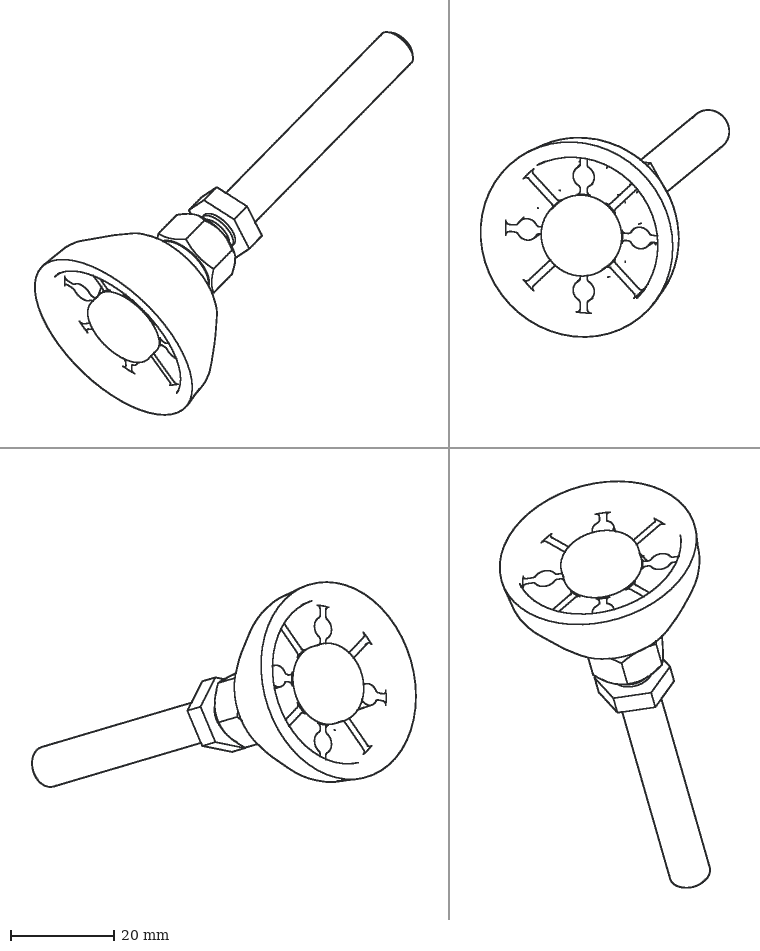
import cadquery as cq
import math


TOTAL_LENGTH = 89.5

FOOT_RADIUS = 19.5
RIM_BAND_HEIGHT = 0.5
SHOULDER_RADIUS = 18.9
SHOULDER_Y = 6.4
FOOT_TOP_RADIUS = 11.55
FOOT_TOP_Y = 17.9
FLANK_BULGE = 0.3
SHOULDER_FILLET = 3.0
FOOT_TOP_FILLET = 2.5

MOUTH_RADIUS = 16.4
MOUTH_FILLET = 0.5
CAVITY_STEP_RADIUS = 16.1
CAVITY_STEP_Y = 4.2
CAVITY_STEP_FILLET = 2.5
CAVITY_BOTTOM_RADIUS = 11.55
CAVITY_BOTTOM_Y = 14.8
CAVITY_BOTTOM_FILLET = 1.0
BOSS_RADIUS = 7.8
BOSS_FACE_Y = 1.2
BOSS_FACE_FILLET = 0.9
BOSS_FLARE_Y = 4.5

RIB_COUNT = 8
RIB_WIDTH = 1.4
RIB_FACE_Y = 4.7
RIB_DRAFT = 2.0
RIB_ROOT_FILLET = 0.7
PILLAR_RADIUS = 2.15
PILLAR_CIRCLE_RADIUS = 11.5

ROD_RADIUS = 4.0
ROD_TIP_CHAMFER = 0.8
NECK_RADIUS = 3.5
NECK_START_Y = 30.5
NECK_END_Y = 31.9
COLLAR_RADIUS = 6.2
COLLAR_START_Y = 19.4
BALL_RADIUS = 6.8
STUD_HEX_FLATS = 13.7
STUD_HEX_START_Y = 21.8
STUD_HEX_END_Y = 29.45
STUD_HEX_LOWER_FACE_RADIUS = 6.4
STUD_HEX_LOWER_CHAMFER_ANGLE = 30.0
STUD_HEX_UPPER_FACE_RADIUS = 6.9

NUT_FLATS = 13.0
NUT_THICKNESS = 4.0
NUT_START_Y = 33.0

HEX_HALF_STEP = 30.0

SELECTION_MARGIN = 0.045

ball_center_y = COLLAR_START_Y - math.sqrt(BALL_RADIUS**2 - COLLAR_RADIUS**2)


def revolve_about_y(outline):
    return outline.close().revolve(360, (0, 0, 0), (0, 1, 0))


def plane_at_y(y):
    """Plane facing +Y, with local x along +X and local y along -Z."""
    return cq.Workplane(cq.Plane(origin=(0, y, 0), xDir=(1, 0, 0), normal=(0, 1, 0)))


def hex_prism(flats, start_y, end_y, corner_angle):
    corner_diameter = flats / math.cos(math.radians(HEX_HALF_STEP))
    prism = plane_at_y(start_y).polygon(6, corner_diameter).extrude(end_y - start_y)
    return prism.rotate((0, 0, 0), (0, 1, 0), corner_angle)


def ring_edge(radius, y):
    """Selects the circular edge around the Y axis that has this radius and lies at this Y."""
    margin = SELECTION_MARGIN
    return cq.selectors.BoxSelector(
        (-radius - margin, y - margin, -radius - margin),
        (radius + margin, y + margin, radius + margin),
        boundingbox=True,
    )


def ball():
    """Ball end of the stud, also used to cut its socket in the foot."""
    return cq.Workplane("XY").sphere(BALL_RADIUS).translate((0, ball_center_y, 0))


def foot_body():
    """Solid outside shape of the foot: slightly tapered rim, bulged flank, flat top."""
    drop = FOOT_TOP_Y - SHOULDER_Y
    inset = SHOULDER_RADIUS - FOOT_TOP_RADIUS
    chord = math.hypot(drop, inset)
    flank_middle = (
        (SHOULDER_RADIUS + FOOT_TOP_RADIUS) / 2 + FLANK_BULGE * drop / chord,
        (SHOULDER_Y + FOOT_TOP_Y) / 2 + FLANK_BULGE * inset / chord,
    )
    body = revolve_about_y(
        cq.Workplane("XY")
        .lineTo(FOOT_RADIUS, 0)
        .lineTo(FOOT_RADIUS, RIM_BAND_HEIGHT)
        .lineTo(SHOULDER_RADIUS, SHOULDER_Y)
        .threePointArc(flank_middle, (FOOT_TOP_RADIUS, FOOT_TOP_Y))
        .lineTo(0, FOOT_TOP_Y)
    )
    body = body.edges(ring_edge(SHOULDER_RADIUS, SHOULDER_Y)).fillet(SHOULDER_FILLET)
    return body.edges(ring_edge(FOOT_TOP_RADIUS, FOOT_TOP_Y)).fillet(FOOT_TOP_FILLET)


def foot_cavity():
    """Ring-shaped space between the rim and the central boss, with a rounded bottom."""
    cavity = revolve_about_y(
        cq.Workplane("XY")
        .lineTo(MOUTH_RADIUS, 0)
        .lineTo(CAVITY_STEP_RADIUS, CAVITY_STEP_Y)
        .lineTo(CAVITY_BOTTOM_RADIUS, CAVITY_BOTTOM_Y)
        .lineTo(BOSS_RADIUS, BOSS_FLARE_Y)
        .lineTo(BOSS_RADIUS, BOSS_FACE_Y)
        .lineTo(0, BOSS_FACE_Y)
    )
    cavity = cavity.edges(ring_edge(CAVITY_STEP_RADIUS, CAVITY_STEP_Y)).fillet(CAVITY_STEP_FILLET)
    return cavity.edges(ring_edge(CAVITY_BOTTOM_RADIUS, CAVITY_BOTTOM_Y)).fillet(CAVITY_BOTTOM_FILLET)


def ribs():
    """Drafted ribs around the boss; every second one carries a round pillar."""
    height = FOOT_TOP_Y - RIB_FACE_Y
    web = (
        plane_at_y(RIB_FACE_Y)
        .center(FOOT_RADIUS / 2, 0)
        .rect(FOOT_RADIUS, RIB_WIDTH)
        .extrude(height, taper=-RIB_DRAFT)
    )
    pillar = (
        plane_at_y(RIB_FACE_Y)
        .center(PILLAR_CIRCLE_RADIUS, 0)
        .circle(PILLAR_RADIUS)
        .extrude(height, taper=-RIB_DRAFT)
    )
    web_with_pillar = web.union(pillar)
    group = cq.Workplane("XY")
    for i in range(RIB_COUNT):
        rib = web_with_pillar if i % 2 == 0 else web
        group = group.add(rib.rotate((0, 0, 0), (0, 1, 0), i * 360 / RIB_COUNT))
    return group.combine()


def is_rib_root(edge):
    """True for an edge that climbs from a rib's side into the cavity wall, boss or bottom."""
    ends = [vertex.Center() for vertex in edge.Vertices()]
    heights = [end.y for end in ends]
    radii = [math.hypot(end.x, end.z) for end in ends]
    lies_on_rib_faces = max(heights) < RIB_FACE_Y + 0.1
    is_bottom_ring = abs(heights[0] - heights[-1]) < 0.1 and abs(radii[0] - radii[-1]) < 0.1
    return not lies_on_rib_faces and not is_bottom_ring


def pockets_between_ribs():
    """Parts of the cavity deeper than the rib faces, rounded where the ribs grow out."""
    deep_zone = plane_at_y(RIB_FACE_Y).circle(FOOT_RADIUS).extrude(FOOT_TOP_Y - RIB_FACE_Y)
    pockets = foot_cavity().intersect(deep_zone).cut(ribs())
    rounded = []
    for pocket in pockets.solids().vals():
        roots = [edge for edge in pocket.Edges() if is_rib_root(edge)]
        rounded.append(pocket.fillet(RIB_ROOT_FILLET, roots))
    return rounded


def make_foot():
    open_zone = plane_at_y(0).circle(FOOT_RADIUS).extrude(RIB_FACE_Y)
    foot = foot_body().cut(foot_cavity().intersect(open_zone))
    foot = foot.edges(ring_edge(BOSS_RADIUS, BOSS_FACE_Y)).fillet(BOSS_FACE_FILLET)
    foot = foot.edges(ring_edge(MOUTH_RADIUS, 0)).fillet(MOUTH_FILLET)
    for pocket in pockets_between_ribs():
        foot = foot.cut(cq.Workplane(pocket))
    return foot.cut(ball())


def stud_shaft():
    """Collar, neck groove and rod; the collar narrows to the rod inside the hexagon."""
    neck_flare = ROD_RADIUS - NECK_RADIUS
    return revolve_about_y(
        cq.Workplane("XY")
        .moveTo(0, COLLAR_START_Y)
        .lineTo(COLLAR_RADIUS, COLLAR_START_Y)
        .lineTo(COLLAR_RADIUS, STUD_HEX_START_Y)
        .lineTo(ROD_RADIUS, STUD_HEX_END_Y)
        .lineTo(NECK_RADIUS, NECK_START_Y)
        .lineTo(NECK_RADIUS, NECK_END_Y)
        .lineTo(ROD_RADIUS, NECK_END_Y + neck_flare)
        .lineTo(ROD_RADIUS, TOTAL_LENGTH - ROD_TIP_CHAMFER)
        .lineTo(ROD_RADIUS - ROD_TIP_CHAMFER, TOTAL_LENGTH)
        .lineTo(0, TOTAL_LENGTH)
    )


def stud_hexagon():
    """Spanner hexagon chamfered at both ends, with corners on the Z direction."""
    reach = STUD_HEX_FLATS
    lower_rise = (reach - STUD_HEX_LOWER_FACE_RADIUS) * math.tan(math.radians(STUD_HEX_LOWER_CHAMFER_ANGLE))
    lower_cone = revolve_about_y(
        cq.Workplane("XY")
        .moveTo(0, STUD_HEX_START_Y)
        .lineTo(STUD_HEX_LOWER_FACE_RADIUS, STUD_HEX_START_Y)
        .lineTo(reach, STUD_HEX_START_Y + lower_rise)
        .lineTo(reach, STUD_HEX_END_Y)
        .lineTo(0, STUD_HEX_END_Y)
    )
    upper_cone = revolve_about_y(
        cq.Workplane("XY")
        .moveTo(0, STUD_HEX_END_Y)
        .lineTo(STUD_HEX_UPPER_FACE_RADIUS, STUD_HEX_END_Y)
        .lineTo(reach, STUD_HEX_END_Y - reach + STUD_HEX_UPPER_FACE_RADIUS)
        .lineTo(reach, STUD_HEX_START_Y)
        .lineTo(0, STUD_HEX_START_Y)
    )
    hexagon = hex_prism(STUD_HEX_FLATS, STUD_HEX_START_Y, STUD_HEX_END_Y, HEX_HALF_STEP)
    return hexagon.intersect(lower_cone).intersect(upper_cone)


def make_stud():
    return stud_shaft().union(stud_hexagon()).union(ball())


def make_nut():
    nut = hex_prism(NUT_FLATS, NUT_START_Y, NUT_START_Y + NUT_THICKNESS, 0)
    bore = plane_at_y(NUT_START_Y).circle(ROD_RADIUS).extrude(NUT_THICKNESS)
    return nut.cut(bore)


foot = make_foot()
stud = make_stud()
lock_nut = make_nut()
result = cq.Compound.makeCompound([foot.val(), stud.val(), lock_nut.val()])